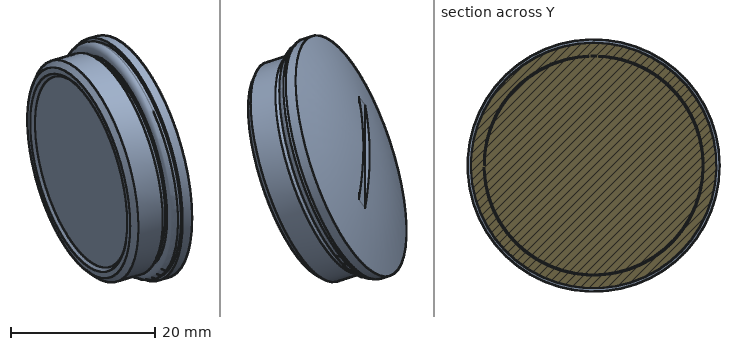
import cadquery as cq
import math

flange_radius = 17.5
body_radius = 32.0 / 2
groove_radius = 30.3 / 2
ring_radius = 17.15
ring_seat_overlap = 0.05
recess_floor_radius = 13.75

groove_start = 5.5
ring_start = 5.42
flange_start = 7.0
dome_start = 8.5
total_height = 10.9

chamfer = body_radius - groove_radius
recess_depth = 0.5
recess_rim_radius = recess_floor_radius + recess_depth
slot_width = 2.0
slot_depth = 0.7


def revolve_about_y(profile):
    return profile.close().revolve(360, (0, 0, 0), (0, 1, 0))


def make_cap():
    """Chamfered plug with a shallow recess, a groove, a flange and a domed back."""
    rise = total_height - dome_start
    dome_radius = (flange_radius**2 + rise**2) / (2 * rise)
    dome_mid_radius = flange_radius / 2
    dome_mid_height = total_height - dome_radius + math.sqrt(dome_radius**2 - dome_mid_radius**2)
    profile = (
        cq.Workplane("XY")
        .moveTo(0, recess_depth)
        .lineTo(recess_floor_radius, recess_depth)
        .lineTo(recess_rim_radius, 0)
        .lineTo(body_radius - chamfer, 0)
        .lineTo(body_radius, chamfer)
        .lineTo(body_radius, groove_start - chamfer)
        .lineTo(groove_radius, groove_start)
        .lineTo(groove_radius, flange_start)
        .lineTo(flange_radius, flange_start)
        .lineTo(flange_radius, dome_start)
        .threePointArc((dome_mid_radius, dome_mid_height), (0, total_height))
    )
    return revolve_about_y(profile)


def make_sealing_ring():
    """O-ring slightly sunk into the groove floor and pressed into the flange."""
    section_radius = (ring_radius - groove_radius + ring_seat_overlap) / 2
    center_radius = ring_radius - section_radius
    center_height = ring_start + section_radius
    ring = cq.Solid.makeTorus(
        center_radius, section_radius, cq.Vector(0, center_height, 0), cq.Vector(0, 1, 0)
    )
    return cq.Workplane("XY").add(ring)


def make_slot():
    """Screwdriver slot running along Z across the crown of the dome."""
    slot_length = 2 * flange_radius
    return cq.Workplane("XY").box(slot_width, 2 * slot_depth, slot_length).translate((0, total_height, 0))


result = make_cap().union(make_sealing_ring()).cut(make_slot())